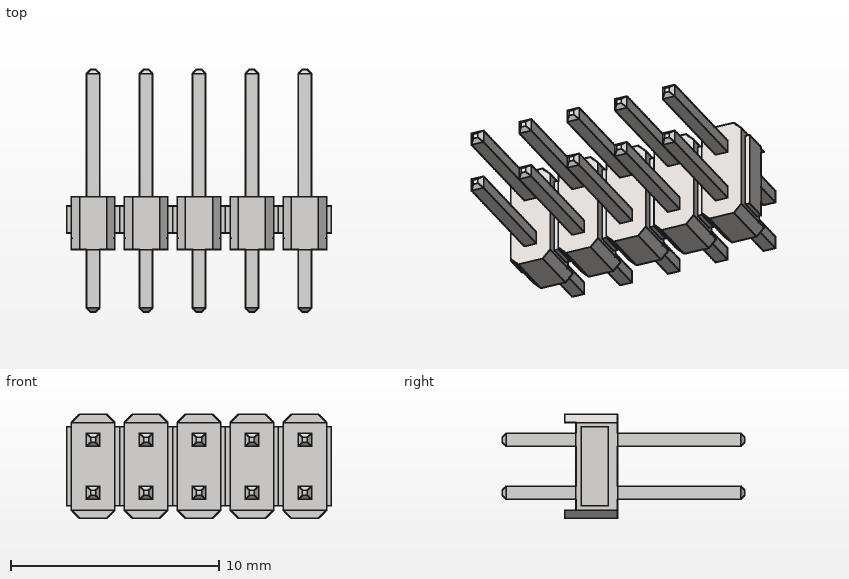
import cadquery as cq

module_count = 5
pitch = 2.54

block_width = 2.1
block_height = 5.0
cap_depth = 2.54
web_depth = 2.0
bevel = 0.4

tongue_depth = 1.3
tongue_height = 3.8
tongue_rear_offset = 0.45

pin_size = 0.64
pin_length = 11.64
pin_front_reach = 5.54
tip_length = 0.2


def box_from_rear(width, depth, height, rear_y):
    """Box centred on X and Z, running from rear_y toward -Y."""
    return cq.Workplane("XY").box(width, depth, height).translate((0, rear_y - depth / 2, 0))


def make_housing():
    housing = box_from_rear(block_width, cap_depth, block_height, 0)
    housing = housing.edges("|Y").chamfer(bevel)

    recess = box_from_rear(
        block_width, cap_depth - web_depth, block_height - 2 * bevel, -web_depth
    )
    tongue = box_from_rear(pitch, tongue_depth, tongue_height, -tongue_rear_offset)
    return housing.cut(recess).union(tongue)


def make_pin(row_z):
    pin = box_from_rear(pin_size, pin_length, pin_size, pin_length - pin_front_reach)
    pin = pin.faces("<Y or >Y").chamfer(tip_length)
    return pin.translate((0, 0, row_z))


def make_module(center_x):
    module = make_housing()
    for row_z in (-pitch / 2, pitch / 2):
        module = module.union(make_pin(row_z))
    return module.translate((center_x, 0, 0))


modules = []
for index in range(module_count):
    center_x = (index - (module_count - 1) / 2) * pitch
    modules.append(make_module(center_x).val())

result = cq.Compound.makeCompound(modules)